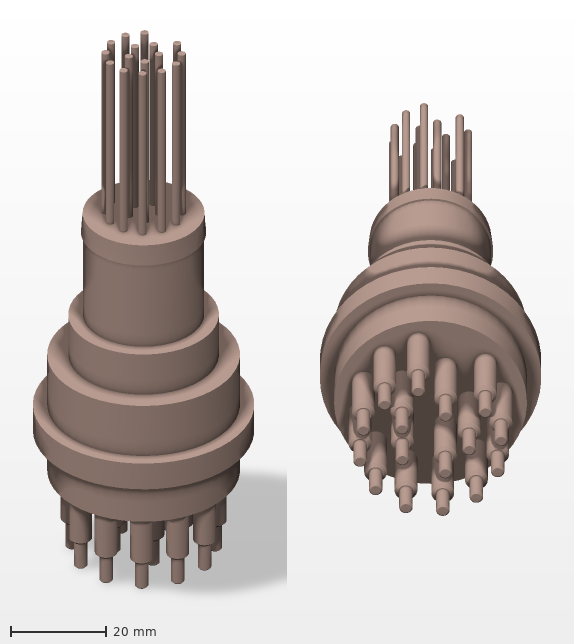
import cadquery as cq
import math

PIN_SHOULDER_Z = 6.4
BODY_BOTTOM_Z = 19.3
FLANGE_BOTTOM_Z = 29.3
FLANGE_TOP_Z = 35.7
BODY_TOP_Z = 48.1
COLLAR_TOP_Z = 58.0
NECK_TOP_Z = 78.5
CAP_TOP_Z = 83.3
WIRE_TOP_Z = 123.0

BODY_DIAMETER = 40.5
FLANGE_DIAMETER = 46.5
COLLAR_DIAMETER = 31.6
NECK_DIAMETER = 25.5
CAP_BOTTOM_DIAMETER = 26.3
CAP_TOP_DIAMETER = 25.6

SLEEVE_DIAMETER = 4.8
TIP_DIAMETER = 2.8
SLEEVE_CHAMFER = 0.7
TIP_CHAMFER = 0.4
WIRE_DIAMETER = 1.7

RING_POSITIONS = 12
KEY_ANGLE = 90
PIN_RING_RADIUS = 15.0
WIRE_RING_RADIUS = 8.0

INNER_PINS = [(0, 9.2), (7.5, 3.1), (4.8, -4.0)]
INNER_WIRES = [(0, 4.0), (3.0, 1.4), (2.0, -2.7)]


def ring_points(radius):
    """Outer ring positions without the empty key position."""
    step = 360 / RING_POSITIONS
    angles = [math.radians(KEY_ANGLE + i * step) for i in range(1, RING_POSITIONS)]
    return [(radius * math.cos(a), radius * math.sin(a)) for a in angles]


def mirrored(points):
    """Points together with their mirror images across the YZ plane."""
    return points + [(-x, y) for x, y in points if x > 0]


def rods(points, diameter, bottom_z, top_z):
    """Upright round rods, one at each point."""
    return (
        cq.Workplane("XY", origin=(0, 0, bottom_z))
        .pushPoints(points)
        .circle(diameter / 2)
        .extrude(top_z - bottom_z)
    )


def housing():
    """Stepped body with a flange, collar, neck and slightly tapered end cap."""
    profile = [
        (0, BODY_BOTTOM_Z),
        (BODY_DIAMETER / 2, BODY_BOTTOM_Z),
        (BODY_DIAMETER / 2, FLANGE_BOTTOM_Z),
        (FLANGE_DIAMETER / 2, FLANGE_BOTTOM_Z),
        (FLANGE_DIAMETER / 2, FLANGE_TOP_Z),
        (BODY_DIAMETER / 2, FLANGE_TOP_Z),
        (BODY_DIAMETER / 2, BODY_TOP_Z),
        (COLLAR_DIAMETER / 2, BODY_TOP_Z),
        (COLLAR_DIAMETER / 2, COLLAR_TOP_Z),
        (NECK_DIAMETER / 2, COLLAR_TOP_Z),
        (NECK_DIAMETER / 2, NECK_TOP_Z),
        (CAP_BOTTOM_DIAMETER / 2, NECK_TOP_Z),
        (CAP_TOP_DIAMETER / 2, CAP_TOP_Z),
        (0, CAP_TOP_Z),
    ]
    return cq.Workplane("XZ").polyline(profile).close().revolve(360, (0, 0, 0), (0, 1, 0))


def contact_pins():
    """Chamfered sleeves below the body, each ending in a thinner chamfered tip."""
    points = ring_points(PIN_RING_RADIUS) + mirrored(INNER_PINS)
    sleeves = rods(points, SLEEVE_DIAMETER, PIN_SHOULDER_Z, BODY_BOTTOM_Z)
    sleeves = sleeves.faces("<Z").chamfer(SLEEVE_CHAMFER)
    tips = rods(points, TIP_DIAMETER, 0, BODY_BOTTOM_Z)
    tips = tips.faces("<Z").chamfer(TIP_CHAMFER)
    return sleeves.union(tips)


def wires():
    """Straight wires rising from the end cap."""
    points = ring_points(WIRE_RING_RADIUS) + mirrored(INNER_WIRES)
    return rods(points, WIRE_DIAMETER, CAP_TOP_Z, WIRE_TOP_Z)


result = housing().union(contact_pins()).union(wires())